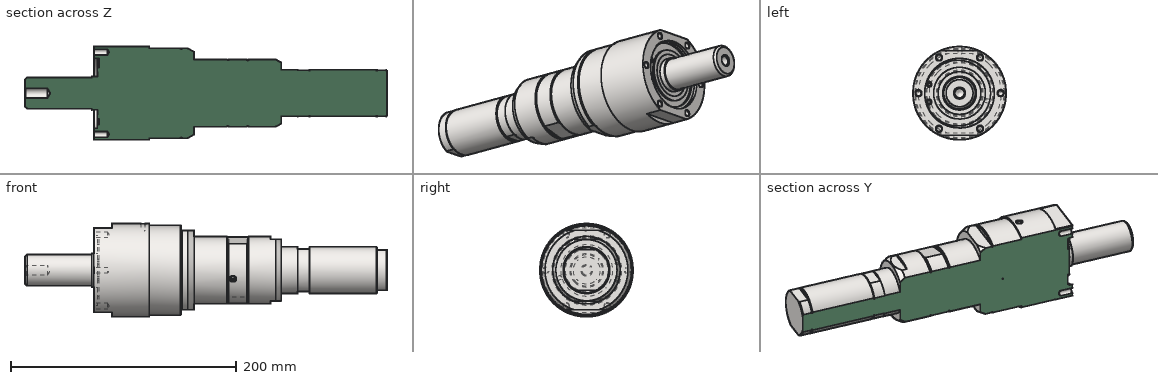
import cadquery as cq
import math

TOTAL_LENGTH = 322.0

SHAFT_DIAMETER = 28.0
SHAFT_CHAMFER = 2.0
COLLAR_DIAMETER = 30.0
COLLAR_START = 59.3
CENTRE_DRILL_DIAMETER = 8.38
CENTRE_SINK_DIAMETER = 10.4
CENTRE_DRILL_DEPTH = 20.0

HOUSING_DIAMETER = 83.0
HOUSING_START = 61.3
HOUSING_END = 110.8
HOUSING_FLAT_LENGTH = 16.0
HOUSING_FLATS = 75.0
COVER_DIAMETER = 80.2
COVER_END = 138.9
FLANGE_END = 150.5
FLANGE_TAPER_LENGTH = 5.6
FLANGE_FLATS = 70.5

BARREL_DIAMETER = 60.0
WRENCH_START = 180.4
WRENCH_END = 198.1
WRENCH_FLATS = 55.0
WRENCH_TILT = 15.0
NOSE_START = 218.5
BARREL_END = 228.0
NOSE_TAPER_LENGTH = 4.9
NOSE_FLATS = 55.0
TAPER_ANGLE = 30.0
JOINT_CHAMFER = 0.8

TAIL_DIAMETER = 41.7
TAIL_NECK_DIAMETER = 41.5
TAIL_NECK_START = 242.5
TAIL_NECK_END = 252.5
TAIL_NECK_FLATS = 38.0
TAIL_END_START = 312.9
TAIL_END_FLATS = 36.0
TAIL_CHAMFER = 0.8

RECESS_DIAMETER = 62.0
RECESS_DEPTH = 4.5
RING_TOP_DEPTH = 2.9
RING_INNER_RADIUS = 29.2
RING_OFFSET = 1.6
LUG_RADIUS = 2.4
LUG_HOLE_DIAMETER = 2.5
LUG_Y = 27.1
LUG_Z = 7.8
SEAL_OUTER_DIAMETER = 46.0
SEAL_INNER_DIAMETER = 38.0
SEAL_HEIGHT = 1.5
SEAL_LIP_HEIGHT = 0.1
BOLT_COUNT = 6
BOLT_CIRCLE_RADIUS = 36.5
BOLT_DRILL_DIAMETER = 4.92
BOLT_SINK_DIAMETER = 6.0
BOLT_DEPTH = 12.0

RADIAL_HOLE_DIAMETER = 3.6
RADIAL_SINK_DIAMETER = 6.0
RADIAL_HOLE_DEPTH = 6.0
HOUSING_HOLE_X = 105.0
BARREL_HOLE_X = 184.9

DRILL_POINT_ANGLE = 118.0
SINK_ANGLE = 90.0


def turned_body():
    """Revolve the half profile, with X along the axis and Y as the radius."""
    shaft = SHAFT_DIAMETER / 2
    housing = HOUSING_DIAMETER / 2
    cover = COVER_DIAMETER / 2
    barrel = BARREL_DIAMETER / 2
    tail = TAIL_DIAMETER / 2
    neck = TAIL_NECK_DIAMETER / 2
    taper = math.tan(math.radians(TAPER_ANGLE))
    joint = JOINT_CHAMFER

    def joint_groove(x, radius):
        return [(x - joint, radius), (x, radius - joint), (x + joint, radius)]

    points = [
        (0, 0),
        (0, shaft - SHAFT_CHAMFER),
        (SHAFT_CHAMFER, shaft),
        (COLLAR_START, shaft),
        (COLLAR_START, COLLAR_DIAMETER / 2),
        (HOUSING_START, COLLAR_DIAMETER / 2),
        (HOUSING_START, housing),
        (HOUSING_END, housing),
        (HOUSING_END, cover),
        *joint_groove(COVER_END, cover),
        (FLANGE_END - FLANGE_TAPER_LENGTH, cover),
        (FLANGE_END, cover - FLANGE_TAPER_LENGTH * taper),
        (FLANGE_END, barrel),
        *joint_groove(WRENCH_START, barrel),
        *joint_groove(WRENCH_END, barrel),
        (BARREL_END - NOSE_TAPER_LENGTH, barrel),
        (BARREL_END, barrel - NOSE_TAPER_LENGTH * taper),
        (BARREL_END, tail),
        (TAIL_NECK_START, tail),
        (TAIL_NECK_START, neck),
        (TAIL_NECK_END, neck),
        (TAIL_NECK_END, tail - TAIL_CHAMFER),
        (TAIL_NECK_END + TAIL_CHAMFER, tail),
        (TAIL_END_START - TAIL_CHAMFER, tail),
        (TAIL_END_START, tail - TAIL_CHAMFER),
        (TAIL_END_START, neck),
        (TOTAL_LENGTH - TAIL_CHAMFER, neck),
        (TOTAL_LENGTH, neck - TAIL_CHAMFER),
        (TOTAL_LENGTH, 0),
    ]
    return cq.Workplane("XY").polyline(points).close().revolve(360, (0, 0, 0), (1, 0, 0))


def flat_pair(start, end, across, tilt=0.0):
    """Material outside two parallel flats, tilted about X from the horizontal."""
    width = 2 * HOUSING_DIAMETER
    length = end - start
    cutter = (
        cq.Workplane("XY")
        .box(length, width, width)
        .cut(cq.Workplane("XY").box(length, width, across))
    )
    cutter = cutter.translate(((start + end) / 2, 0, 0))
    return cutter.rotate((0, 0, 0), (1, 0, 0), tilt)


def drilled_hole(diameter, depth, sink_diameter):
    """Drill along +X from the origin, with a conical bottom and a countersink."""
    radius = diameter / 2
    point = radius / math.tan(math.radians(DRILL_POINT_ANGLE / 2))
    sink_radius = sink_diameter / 2
    sink_depth = (sink_radius - radius) / math.tan(math.radians(SINK_ANGLE / 2))
    profile = [(0, 0), (0, sink_radius), (sink_depth, radius), (depth, radius), (depth + point, 0)]
    return cq.Workplane("XY").polyline(profile).close().revolve(360, (0, 0, 0), (1, 0, 0))


def radial_hole(x, surface_radius, angle):
    """Blind hole entering the side; the angle turns about X from +Y towards +Z."""
    hole = drilled_hole(RADIAL_HOLE_DIAMETER, RADIAL_HOLE_DEPTH, RADIAL_SINK_DIAMETER)
    hole = hole.rotate((0, 0, 0), (0, 0, 1), 180).translate((surface_radius, 0, 0))
    hole = hole.rotate((0, 0, 0), (0, 0, 1), 90).translate((x, 0, 0))
    return hole.rotate((0, 0, 0), (1, 0, 0), angle)


def annulus(x, depth, outer_diameter, inner_diameter):
    """Flat ring starting at x; a negative depth grows it towards -X."""
    plane = cq.Workplane("YZ", origin=(x, 0, 0))
    return plane.circle(outer_diameter / 2).circle(inner_diameter / 2).extrude(depth)


def retaining_ring(floor):
    """C-shaped ring on the recess floor, thickest opposite its gap, with a drilled lug at each end."""
    thickness = RECESS_DEPTH - RING_TOP_DEPTH
    recess_radius = RECESS_DIAMETER / 2
    plane = cq.Workplane("YZ", origin=(floor - thickness, 0, 0))
    ring = plane.circle(recess_radius).extrude(thickness)
    ring = ring.cut(plane.center(RING_OFFSET, 0).circle(RING_INNER_RADIUS).extrude(thickness))
    ring = ring.cut(plane.center(recess_radius, 0).rect(recess_radius, 2 * LUG_Z).extrude(thickness))
    lugs = plane.pushPoints([(LUG_Y, LUG_Z), (LUG_Y, -LUG_Z)])
    ring = ring.union(lugs.circle(LUG_RADIUS).extrude(thickness))
    return ring.cut(lugs.circle(LUG_HOLE_DIAMETER / 2).extrude(thickness))


def cut_front_face(body):
    floor = HOUSING_START + RECESS_DEPTH
    hub_height = SEAL_HEIGHT - SEAL_LIP_HEIGHT
    body = body.cut(annulus(floor, -RECESS_DEPTH, RECESS_DIAMETER, COLLAR_DIAMETER))
    body = body.union(annulus(floor, -hub_height, SEAL_OUTER_DIAMETER, COLLAR_DIAMETER))
    body = body.union(annulus(floor, -SEAL_HEIGHT, SEAL_OUTER_DIAMETER, SEAL_INNER_DIAMETER))
    body = body.union(retaining_ring(floor))
    for index in range(BOLT_COUNT):
        hole = drilled_hole(BOLT_DRILL_DIAMETER, BOLT_DEPTH, BOLT_SINK_DIAMETER)
        hole = hole.translate((HOUSING_START, BOLT_CIRCLE_RADIUS, 0))
        body = body.cut(hole.rotate((0, 0, 0), (1, 0, 0), index * 360 / BOLT_COUNT))
    return body


def cut_flats(body):
    body = body.cut(flat_pair(HOUSING_START, HOUSING_START + HOUSING_FLAT_LENGTH, HOUSING_FLATS))
    body = body.cut(flat_pair(COVER_END, FLANGE_END, FLANGE_FLATS))
    body = body.cut(flat_pair(WRENCH_START, WRENCH_END, WRENCH_FLATS, WRENCH_TILT))
    body = body.cut(flat_pair(NOSE_START, BARREL_END, NOSE_FLATS))
    body = body.cut(flat_pair(TAIL_NECK_START, TAIL_NECK_END, TAIL_NECK_FLATS))
    return body.cut(flat_pair(TAIL_END_START, TOTAL_LENGTH, TAIL_END_FLATS))


def cut_holes(body):
    body = body.cut(drilled_hole(CENTRE_DRILL_DIAMETER, CENTRE_DRILL_DEPTH, CENTRE_SINK_DIAMETER))
    body = body.cut(radial_hole(HOUSING_HOLE_X, HOUSING_DIAMETER / 2, 90))
    return body.cut(radial_hole(BARREL_HOLE_X, BARREL_DIAMETER / 2, 180 + WRENCH_TILT))


result = cut_holes(cut_flats(cut_front_face(turned_body())))